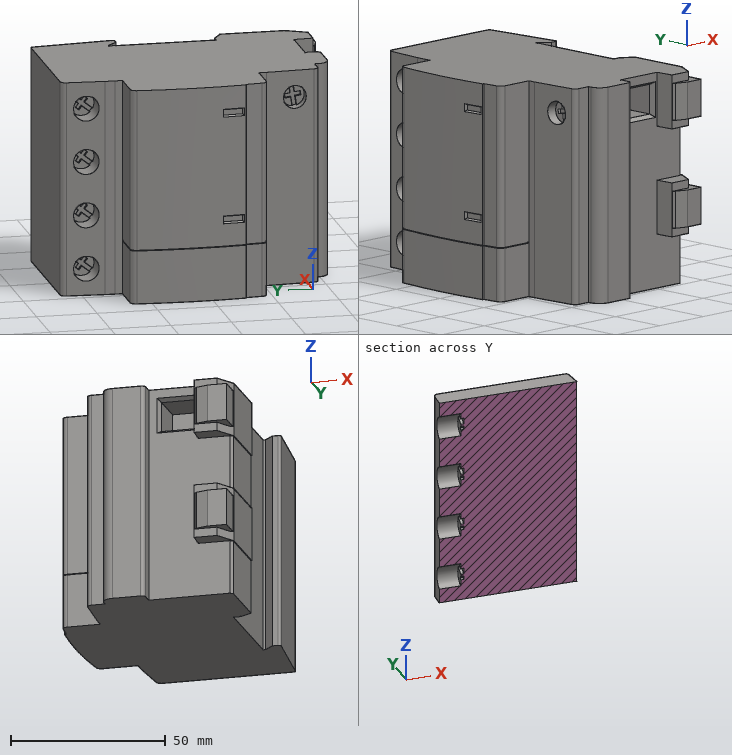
import cadquery as cq
import math


module_width = 17.8
module_count = 4
height = module_width * module_count
length_y = 93.5

end_y = 8.4
housing_front_x = 14.7
taper_front_x = 15.8
taper_low_y = 25.9
taper_high_y = 77.6
taper_blend_reach = 1.7
end_rounding = 1.8
rail_side_x = 64.7
rail_corner = 0.9

bump_x0 = 21.9
bump_x1 = 36.6
bump_y = 3.4
bump_big_radius = 3.9
bump_small_radius = 1.3

seat_x = 58.1
seat_low_y = 33.0
seat_low_bevel_x = 60.4
seat_low_bevel_y = 30.4
seat_high_y = 68.4
seat_relief = 0.7
hook_tip_x0 = 62.1
hook_tip_x1 = 64.9
hook_tip_y = 65.2
hook_end_x = 62.0
hook_rounding = 0.9

cover_low_y = 28.4
cover_high_y = 73.5
cover_high_x = 1.1
cover_step_y = 35.6
dome_step_x = 0.75
lower_front_x = 1.3
cover_low_x = 1.8
cover_back_x = 30.0
cover_rounding = 1.9

dome_high_y = cover_high_y - cover_rounding
dome_apex_y = cover_step_y + (dome_high_y - cover_step_y) / (1 + math.sqrt(cover_high_x / dome_step_x))
dome_sag_rate = dome_step_x / (dome_apex_y - cover_step_y) ** 2

seam_width = 0.25
seam_depth = 0.25

slot_y0 = 36.2
slot_y1 = 43.4
slot_height = 2.7
slot_taper = 0.45
slot_depth = 1.0
slot_lead = 0.1

recess_depth = 1.0
recess_width = 1.45
upper_well_y = 85.3
upper_well_depth = 8.0
upper_well_diameter = 8.3
upper_recess_arm = 4.6
upper_recess_angle = 38.0
lower_well_y = 16.4
lower_well_depth = 4.0
lower_well_diameter = 7.6
lower_recess_arm = 5.3
lower_recess_angle = 81.0

window_x0 = 39.4
window_x1 = 52.6
window_z0 = 56.4
window_z1 = 68.2
window_bevel = 1.0
window_bevel_depth = 1.8
window_depth = 15.0

latch_x0 = 53.2
latch_tip_x0 = 53.6
latch_tip_x1 = 61.2
latch_side_x = 64.97
latch_tip_y = 2.0
latch_slope_end_y = 8.8
tab_x0 = 53.9
tab_edge_x = 54.6
tab_edge_y = 1.3
tab_flat_x = 58.7
tab_side_y = 7.8
tab_inset = 2.8


def module_center(index):
    """Z of the middle of a module, counted from the bottom."""
    return module_width * (index + 0.5)


def make_housing():
    taper_slope = (taper_front_x - housing_front_x) / (length_y - taper_high_y)
    housing = (
        cq.Workplane("XY")
        .moveTo(taper_front_x, end_y)
        .lineTo(bump_x0, end_y)
        .lineTo(bump_x0, bump_y)
        .lineTo(bump_x1, bump_y)
        .lineTo(bump_x1, end_y)
        .lineTo(rail_side_x - rail_corner, end_y)
        .lineTo(rail_side_x, end_y + rail_corner)
        .lineTo(rail_side_x, seat_low_bevel_y)
        .lineTo(seat_low_bevel_x, seat_low_y)
        .lineTo(seat_x, seat_low_y)
        .lineTo(seat_x, seat_high_y)
        .lineTo(seat_x + seat_relief, seat_high_y)
        .lineTo(hook_tip_x0, hook_tip_y)
        .lineTo(hook_tip_x1, hook_tip_y)
        .lineTo(hook_end_x, length_y)
        .lineTo(taper_front_x, length_y)
        .lineTo(housing_front_x + taper_blend_reach * taper_slope, taper_high_y + taper_blend_reach)
        .tangentArcPoint((housing_front_x, taper_high_y - taper_blend_reach), relative=False)
        .lineTo(housing_front_x, taper_low_y)
        .close()
        .extrude(height)
    )

    def round_edge(solid, x, y, radius):
        corner = cq.selectors.NearestToPointSelector((x, y, height / 2))
        return solid.edges("|Z").edges(corner).fillet(radius)

    housing = round_edge(housing, taper_front_x, end_y, end_rounding)
    housing = round_edge(housing, taper_front_x, length_y, end_rounding)
    housing = round_edge(housing, bump_x0, bump_y, bump_big_radius)
    housing = round_edge(housing, bump_x1, bump_y, bump_small_radius)
    housing = round_edge(housing, hook_tip_x1, hook_tip_y, hook_rounding)
    return round_edge(housing, hook_end_x, length_y, hook_rounding)


def make_cover():
    return (
        cq.Workplane("XY")
        .moveTo(cover_back_x, cover_high_y)
        .lineTo(cover_high_x + cover_rounding, cover_high_y)
        .radiusArc((cover_high_x, dome_high_y), -cover_rounding)
        .threePointArc((0, dome_apex_y), (dome_step_x, cover_step_y))
        .lineTo(lower_front_x, cover_step_y)
        .lineTo(cover_low_x, cover_low_y + cover_rounding)
        .radiusArc((cover_low_x + cover_rounding, cover_low_y), -cover_rounding)
        .lineTo(cover_back_x, cover_low_y)
        .close()
        .extrude(height)
    )


def make_seam():
    """Frame-shaped cutter that follows the cover outline at the lowest module joint."""
    cover = make_cover()
    core = cover.faces("<Z").wires().toPending().offset2D(-seam_depth).extrude(height)
    slab = (
        cq.Workplane("XY")
        .workplane(offset=module_width - seam_width / 2)
        .rect(2 * housing_front_x, 2 * length_y)
        .extrude(seam_width)
    )
    return cover.cut(core).intersect(slab)


def make_slot(z):
    """Tapered indicator slot, sunk square to the dome."""
    mid_y = (slot_y0 + slot_y1) / 2
    width = slot_y1 - slot_y0
    offset_y = mid_y - dome_apex_y
    dome_slope = 2 * dome_sag_rate * offset_y
    dome_tangent = cq.Plane(
        origin=(dome_sag_rate * offset_y**2 - slot_lead, mid_y, z),
        xDir=(dome_slope, 1, 0),
        normal=(1, -dome_slope, 0),
    )
    return (
        cq.Workplane(dome_tangent)
        .rect(width, slot_height)
        .workplane(offset=slot_lead + slot_depth)
        .rect(width - 2 * slot_taper, slot_height - 2 * slot_taper)
        .loft()
    )


def make_well(y, z, diameter, depth, arm, angle):
    """Round screw well with a slotted cross recess in its floor."""
    floor_x = housing_front_x + depth
    bore = cq.Workplane("YZ").center(y, z).circle(diameter / 2).extrude(floor_x)
    recess_end = floor_x + recess_depth
    limit = cq.Workplane("YZ").center(y, z).circle(diameter / 2).extrude(recess_end)
    long_bar = cq.Workplane("YZ").rect(diameter, recess_width).extrude(recess_end)
    short_bar = cq.Workplane("YZ").rect(recess_width, arm).extrude(recess_end)
    cross = long_bar.union(short_bar).rotate((0, 0, 0), (1, 0, 0), angle)
    return bore.union(cross.translate((0, y, z)).intersect(limit))


def make_window():
    """Terminal window: a bevelled mouth leading into a straight pocket."""
    mid_x = (window_x0 + window_x1) / 2
    mid_z = (window_z0 + window_z1) / 2
    width = window_x1 - window_x0
    tall = window_z1 - window_z0
    inner_width = width - 2 * window_bevel
    inner_tall = tall - 2 * window_bevel
    face = cq.Workplane("XZ", origin=(mid_x, end_y, mid_z))
    mouth = (
        face.rect(width, tall)
        .workplane(offset=-window_bevel_depth)
        .rect(inner_width, inner_tall)
        .loft()
    )
    return mouth.union(face.rect(inner_width, inner_tall).extrude(-window_depth))


def make_latch(index):
    """Rail latch with a narrower pull tab, filling one module."""
    base_z = index * module_width
    block = (
        cq.Workplane("XY")
        .workplane(offset=base_z)
        .moveTo(latch_x0, end_y)
        .lineTo(latch_tip_x0, latch_tip_y)
        .lineTo(latch_tip_x1, latch_tip_y)
        .lineTo(latch_side_x, latch_slope_end_y)
        .lineTo(latch_side_x, seat_low_bevel_y)
        .lineTo(latch_x0, seat_low_bevel_y)
        .close()
        .extrude(module_width)
    )
    tab = (
        cq.Workplane("XY")
        .workplane(offset=base_z + tab_inset)
        .moveTo(tab_x0, latch_tip_y)
        .lineTo(tab_edge_x, tab_edge_y)
        .lineTo(tab_flat_x, 0)
        .lineTo(latch_side_x, 0)
        .lineTo(latch_side_x, tab_side_y)
        .lineTo(latch_tip_x1, tab_side_y)
        .lineTo(latch_tip_x1, latch_tip_y)
        .close()
        .extrude(module_width - 2 * tab_inset)
    )
    return block.union(tab)


result = make_housing().cut(make_window())

for module in range(module_count):
    z = module_center(module)
    result = result.cut(
        make_well(
            upper_well_y,
            z,
            upper_well_diameter,
            upper_well_depth,
            upper_recess_arm,
            upper_recess_angle,
        )
    )

top_module = module_count - 1
result = result.cut(
    make_well(
        lower_well_y,
        module_center(top_module),
        lower_well_diameter,
        lower_well_depth,
        lower_recess_arm,
        lower_recess_angle,
    )
)

result = result.union(make_cover()).cut(make_seam())

for module in (1, top_module):
    result = result.cut(make_slot(module_center(module)))
    result = result.union(make_latch(module))